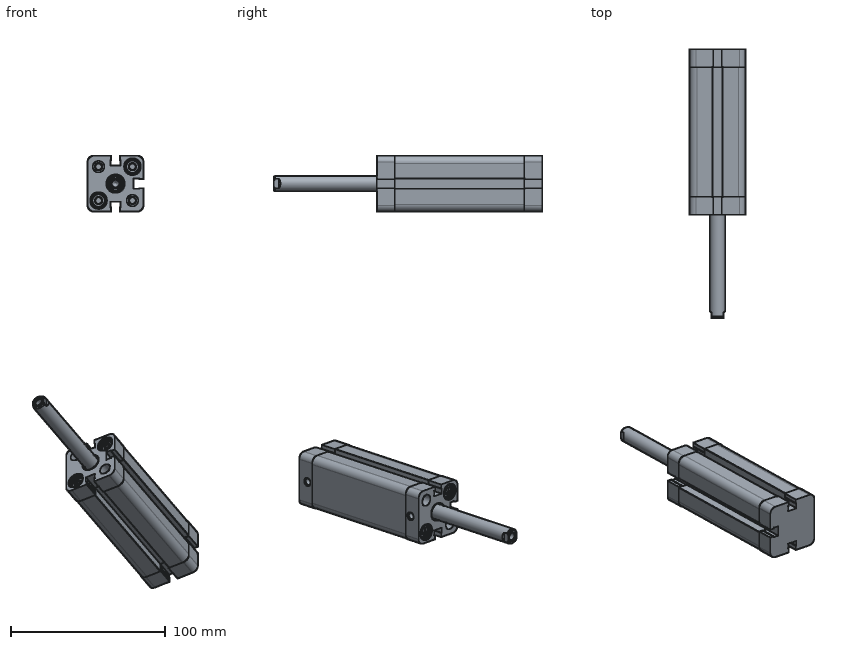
import cadquery as cq


total_length = 173.6
body_length = 107.0
body_width = 36.3
cap_length = 11.6
rod_reach = total_length - body_length
tube_length = body_length - 2 * cap_length
half_width = body_width / 2

cap_corner_radius = 4.2
tube_corner_radius = 4.9

slot_depth = 6.5
slot_width = 6.8
slot_mouth_width = 5.7
slot_lip_height = 3.0
tube_slot_chamfer = 0.2
slot_turns = (0, 90, 180)

hole_offset = 11.0
thread_diameter = 4.2
thread_mouth_diameter = 4.9
thread_depth = 2.0
thread_chamfer = (thread_mouth_diameter - thread_diameter) / 2
small_bore_diameter = 7.5
small_bore_depth = 6.0
large_bore_mouth_diameter = 11.0
large_bore_diameter = 10.0
large_bore_chamfer = (large_bore_mouth_diameter - large_bore_diameter) / 2
large_bore_depth = 1.4
large_bore_step_mouth_diameter = 9.0
large_bore_step_diameter = 8.0
large_bore_step_chamfer = (large_bore_step_mouth_diameter - large_bore_step_diameter) / 2
large_bore_full_depth = 3.1

port_offset = 7.3
port_diameter = 4.2
port_mouth_diameter = 5.5
port_chamfer = (port_mouth_diameter - port_diameter) / 2

rod_diameter = 10.0
rod_chamfer_length = 1.0
rod_chamfer_inset = 0.7
rod_recess_diameter = 12.0
rod_recess_step_diameter = 11.1
rod_recess_step_depth = 0.5
rod_recess_depth = 1.7

flat_width = 8.0
flat_length = 3.5
flat_runout = (rod_diameter - flat_width) / 2
rod_hole_diameter = 4.9
rod_hole_mouth_diameter = 6.2
rod_hole_depth = 10.5
rod_hole_chamfer = (rod_hole_mouth_diameter - rod_hole_diameter) / 2


def cross_section_plane(y):
    """Plane across the cylinder axis: local x is X, local y is Z, and negative extrusions run to +Y."""
    return cq.Plane(origin=(0, y, 0), xDir=(1, 0, 0), normal=(0, -1, 0))


def square_bar(y_start, length, corner_radius):
    bar = cq.Workplane(cross_section_plane(y_start)).rect(body_width, body_width).extrude(-length)
    return bar.edges("|Y").fillet(corner_radius)


def round_bar(x, z, diameter, y_start, length):
    section = cq.Workplane(cross_section_plane(y_start)).center(x, z)
    return section.circle(diameter / 2).extrude(-length)


def countersink(x, z, mouth_diameter, y_start, depth):
    """Cone with its wide end at y_start, narrowing at 45 degrees toward +Y."""
    cone = cq.Solid.makeCone(
        mouth_diameter / 2, mouth_diameter / 2 - depth, depth, cq.Vector(x, y_start, z), cq.Vector(0, 1, 0)
    )
    return cq.Workplane(cone)


def cut_slots(bar, right_half_outline, y_start, length):
    """Cut the same slot into the +Z, +X and -Z sides; the outline is half of the +Z slot."""
    section = cq.Workplane(cross_section_plane(y_start)).polyline(right_half_outline).close()
    half_slot = section.extrude(-length)
    slot = half_slot.union(half_slot.mirror("YZ"))
    for turn in slot_turns:
        bar = bar.cut(slot.rotate((0, 0, 0), (0, 1, 0), turn))
    return bar


def make_cap(y_start, port_y):
    """Square end cap with undercut sensor slots and an air port that reaches toward the axis."""
    cap = square_bar(y_start, cap_length, cap_corner_radius)
    slot_outline = [
        (0, half_width),
        (slot_mouth_width / 2, half_width),
        (slot_mouth_width / 2, half_width - slot_lip_height),
        (slot_width / 2, half_width - slot_lip_height),
        (slot_width / 2, half_width - slot_depth),
        (0, half_width - slot_depth),
    ]
    cap = cut_slots(cap, slot_outline, y_start, cap_length)
    port_plane = cq.Workplane("YZ", origin=(-half_width, port_y, 0))
    port = port_plane.circle(port_diameter / 2).extrude(half_width)
    mouth = cq.Workplane(
        cq.Solid.makeCone(
            port_mouth_diameter / 2,
            port_diameter / 2,
            port_chamfer,
            cq.Vector(-half_width, port_y, 0),
            cq.Vector(1, 0, 0),
        )
    )
    return cap.cut(port).cut(mouth)


def threaded_hole(x, z, y_start):
    hole = round_bar(x, z, thread_diameter, y_start, thread_depth)
    return hole.union(countersink(x, z, thread_mouth_diameter, y_start, thread_chamfer))


def make_front_cap():
    cap = make_cap(0, port_offset)
    for side in (-1, 1):
        x, z = side * hole_offset, -side * hole_offset
        cap = cap.cut(round_bar(x, z, small_bore_diameter, 0, small_bore_depth))
        cap = cap.cut(threaded_hole(x, z, small_bore_depth))
        x, z = side * hole_offset, side * hole_offset
        cap = cap.cut(countersink(x, z, large_bore_mouth_diameter, 0, large_bore_chamfer))
        cap = cap.cut(round_bar(x, z, large_bore_diameter, 0, large_bore_depth))
        cap = cap.cut(
            countersink(x, z, large_bore_step_mouth_diameter, large_bore_depth, large_bore_step_chamfer)
        )
        cap = cap.cut(round_bar(x, z, large_bore_step_diameter, 0, large_bore_full_depth))
        cap = cap.cut(threaded_hole(x, z, large_bore_full_depth))
    cap = cap.cut(round_bar(0, 0, rod_recess_diameter, 0, rod_recess_step_depth))
    cap = cap.cut(round_bar(0, 0, rod_recess_step_diameter, 0, rod_recess_depth))
    return cap.cut(round_bar(0, 0, rod_diameter, 0, cap_length))


def make_tube():
    tube_slot_half_width = slot_width / 2 - tube_slot_chamfer
    tube = square_bar(cap_length, tube_length, tube_corner_radius)
    slot_outline = [
        (0, half_width),
        (slot_width / 2, half_width),
        (tube_slot_half_width, half_width - tube_slot_chamfer),
        (tube_slot_half_width, half_width - slot_depth),
        (0, half_width - slot_depth),
    ]
    return cut_slots(tube, slot_outline, cap_length, tube_length)


def make_rear_cap():
    return make_cap(body_length - cap_length, body_length - port_offset)


def rod_chamfer_ring():
    """Ring of material removed around the rod tip to leave its long, shallow chamfer."""
    radius = rod_diameter / 2
    profile = [
        (radius - rod_chamfer_inset, -rod_reach),
        (radius, -rod_reach),
        (radius, rod_chamfer_length - rod_reach),
    ]
    return cq.Workplane("XY").polyline(profile).close().revolve(360, (0, 0, 0), (0, 1, 0))


def make_rod():
    rod = round_bar(0, 0, rod_diameter, -rod_reach, rod_reach + cap_length)
    rod = rod.cut(rod_chamfer_ring())
    half_flat = flat_width / 2
    flat_end = flat_length - rod_reach
    flat_outline = [
        (half_flat, -rod_reach),
        (half_flat, flat_end),
        (half_flat + flat_runout, flat_end + flat_runout),
        (half_flat + flat_runout, -rod_reach),
    ]
    flat = cq.Workplane("XY").polyline(flat_outline).close().extrude(rod_diameter / 2, both=True)
    rod = rod.cut(flat).cut(flat.mirror("YZ"))
    rod = rod.cut(round_bar(0, 0, rod_hole_diameter, -rod_reach, rod_hole_depth))
    rod = rod.cut(countersink(0, 0, rod_hole_mouth_diameter, -rod_reach, rod_hole_chamfer))
    return rod.cut(countersink(0, 0, rod_hole_diameter, rod_hole_depth - rod_reach, rod_hole_diameter / 2))


front_cap = make_front_cap()
tube = make_tube()
rear_cap = make_rear_cap()
rod = make_rod()

result = cq.Compound.makeCompound([front_cap.val(), tube.val(), rear_cap.val(), rod.val()])